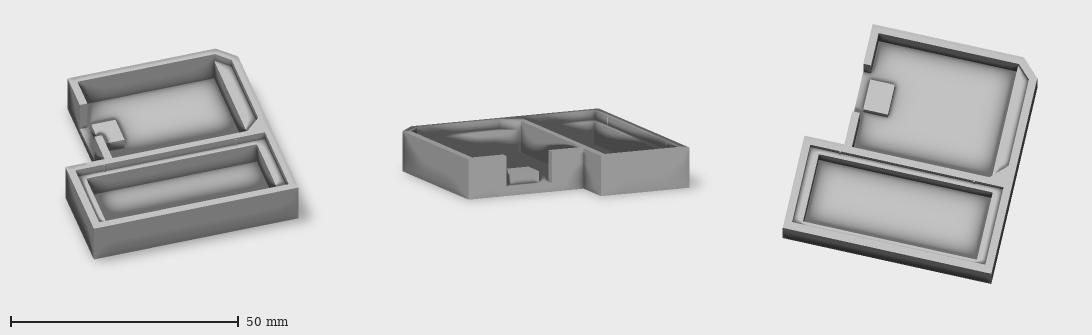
import cadquery as cq

length = 49.45
width = 47.0
height = 9.0
wall = 1.75
floor = 2.0
step_x = 28.0
step_y = 9.0
corner_chamfer = 3.95

left_pocket_end = 28.2
left_corner_cut = 2.9
right_corner_cut = 3.5
shelf_width = 3.1
shelf_depth = 2.0
slot_start = 9.25
slot_end = 20.25

pad_x = 11.23
pad_y = 11.05
pad_length = 6.9
pad_width = 5.55
pad_height = 2.4

recess_start = step_x + wall
recess_end = length - wall
recess_depth = 2.0
side_ledge = 1.2
end_ledge = 2.2

rib_radius = 0.2
rib_height = 1.75
rib_spacing = 30.15


def block(x_start, x_end, y_start, y_end, z_start, z_end):
    """Rectangular block between the given limits."""
    size = (x_end - x_start, y_end - y_start, z_end - z_start)
    return cq.Workplane("XY").box(*size, centered=False).translate((x_start, y_start, z_start))


def make_body():
    """L-shaped block with one chamfered rear corner."""
    outline = [
        (0, step_y),
        (step_x, step_y),
        (step_x, 0),
        (length, 0),
        (length, width),
        (corner_chamfer, width),
        (0, width - corner_chamfer),
    ]
    return cq.Workplane("XY").polyline(outline).close().extrude(height)


def make_left_pocket():
    """Cavity with two cut rear corners and a shelf along the rear wall."""
    front = step_y + wall
    rear = width - wall
    outline = [
        (wall, front),
        (left_pocket_end, front),
        (left_pocket_end, rear - right_corner_cut),
        (left_pocket_end - right_corner_cut, rear),
        (wall + left_corner_cut, rear),
        (wall, rear - left_corner_cut),
    ]
    pocket = cq.Workplane("XY", origin=(0, 0, floor)).polyline(outline).close().extrude(height - floor)
    shelf = block(wall, left_pocket_end, rear - shelf_width, rear, floor, height - shelf_depth)
    return pocket.cut(shelf)


def make_slot():
    """Opening through the front wall down to the compartment floor."""
    return block(slot_start, slot_end, step_y, step_y + wall, floor, height)


def make_right_pocket():
    """Lid recess and well, leaving the ribs standing on the recess walls."""
    ledge_z = height - recess_depth
    recess = block(recess_start, recess_end, wall, width - wall, ledge_z, height)
    for side in (-1, 1):
        rib_y = width / 2 + side * rib_spacing / 2
        for wall_x in (recess_start, recess_end):
            rib = cq.Workplane("XY", origin=(wall_x, rib_y, ledge_z)).circle(rib_radius).extrude(rib_height)
            recess = recess.cut(rib)
    well = block(
        recess_start + side_ledge,
        recess_end - side_ledge,
        wall + end_ledge,
        width - wall - end_ledge,
        floor,
        ledge_z,
    )
    return recess.union(well)


def make_pad():
    """Rectangular pad standing on the left compartment floor."""
    return block(pad_x, pad_x + pad_length, pad_y, pad_y + pad_width, floor, floor + pad_height)


result = make_body().cut(make_left_pocket()).cut(make_slot()).cut(make_right_pocket()).union(make_pad())